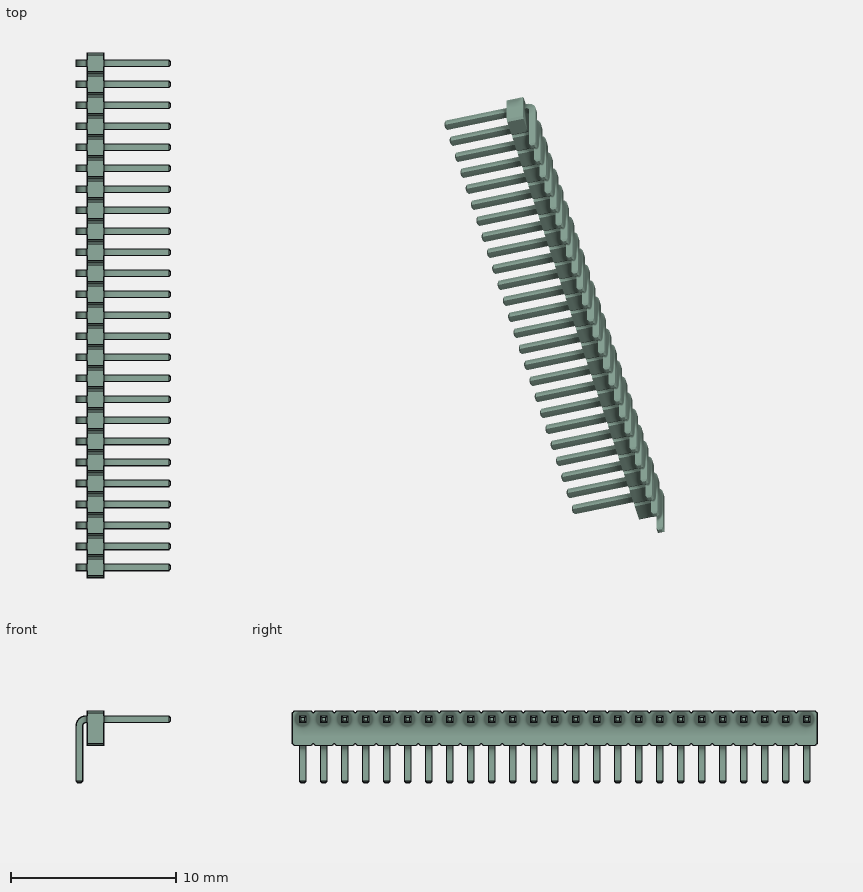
import cadquery as cq

pin_count = 25
pitch = 1.27
overall_width = 5.7
overall_height = 4.35

housing_width = 1.02
housing_height = 2.1
housing_gap = 0.67
housing_chamfer = 0.13

pin_size = 0.4
pin_drop = 0.5
bend_radius = 0.6
tip_chamfer = 0.102

housing_bottom = overall_height - housing_height
pin_top = overall_height - pin_drop + pin_size / 2
pin_bottom = pin_top - pin_size
bend_height = pin_top - bend_radius
row_centers = [(i - (pin_count - 1) / 2) * pitch for i in range(pin_count)]


def housing_cell(y):
    """One block of the housing with its upper and lower Y edges bevelled."""
    return (
        cq.Workplane("XY")
        .box(housing_width, pitch, housing_height, centered=(False, True, False))
        .edges("|X")
        .chamfer(housing_chamfer)
        .translate((housing_gap, y, housing_bottom))
    )


def bend_midpoint(radius):
    """Middle of a quarter arc around the common centre of the bend."""
    offset = radius * 0.5 ** 0.5
    return bend_radius - offset, bend_height + offset


def bent_pin(y):
    """One square L-shaped pin with a rounded bend and bevelled tips."""
    return (
        cq.Workplane("XZ", origin=(0, y + pin_size / 2, 0))
        .lineTo(0, bend_height)
        .threePointArc(bend_midpoint(bend_radius), (bend_radius, pin_top))
        .lineTo(overall_width, pin_top)
        .lineTo(overall_width, pin_bottom)
        .lineTo(bend_radius, pin_bottom)
        .threePointArc(bend_midpoint(bend_radius - pin_size), (pin_size, bend_height))
        .lineTo(pin_size, 0)
        .close()
        .extrude(pin_size)
        .faces(">X or <Z")
        .chamfer(tip_chamfer)
    )


cells = [housing_cell(y).val() for y in row_centers]
pins = [bent_pin(y).val() for y in row_centers]
header = cells[0].fuse(*cells[1:], *pins).clean()
result = cq.Workplane(obj=header.Solids()[0])